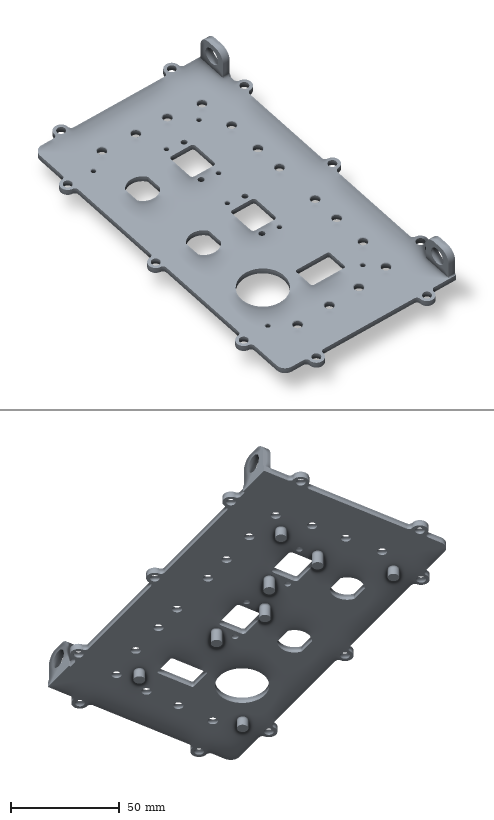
import cadquery as cq
import math

overall_x = 196.5
overall_y = 111.5
overall_z = 25.0

plate_x = 184.7
plate_y = 100.5
plate_thickness = 3.1
front_corner_radius = 5.0

tab_radius = 4.0
tab_hole_diameter = 4.5
tab_root_radius = 2.0
long_edge_tab_xs = (-65.0, 0, 65.0)
short_edge_tab_ys = (-32.5, 32.5)

post_diameter = 5.3
pilot_diameter = 2.4
pilot_mouth_diameter = 3.0
drill_point_angle = 118
pilot_tip_height = pilot_diameter / 2 / math.tan(math.radians(drill_point_angle / 2))
post_floor = 1.0
long_post_length = 6.9
short_post_length = 5.0
short_post_points = [(60.5, 21.6), (64.5, -37.1)]

ear_height = overall_z - long_post_length - plate_thickness
ear_width = 16.5
ear_thickness = 4.0
ear_rear_y = 51.0
ear_top_radius = 5.9
ear_foot_radius = 0.8
ear_hole_diameter = 9.0
ear_hole_height = 7.5
ear_x = plate_x / 2 - ear_foot_radius - ear_width / 2

mouth_angle = 90

indicator_diameter = 4.7
indicator_mouth_diameter = 5.3
indicator_points = [
    (13.2, 31.2),
    (29.0, 31.2),
    (48.5, 31.2),
    (68.0, 29.3),
    (70.7, 11.2),
    (71.5, -6.7),
    (72.3, -26.0),
]

station_xs = (-41.3, 3.7)
window_x = 16.9
window_y = 14.3
window_center_y = 2.5
window_corner_radius = 1.5
knob_hole_diameter = 16.1
knob_hole_flats = 13.4
knob_hole_y = -26.7

fixing_y = 4.5
post_offset_x = 13.5
clearance_offset_x = 12.0
clearance_diameter = 3.1

switch_x = 12.5
switch_y = 19.8
switch_corner_radius = 1.0
switch_center = (50.5, 4.7)
dial_diameter = 25.0
dial_center = (43.6, -23.5)


def mirrored(points):
    """Points together with their mirror images across the YZ plane."""
    return [(side * x, y) for side in (-1, 1) for x, y in points]


def through_plate(sketch):
    """Cutter running through the plate only."""
    return sketch.extrude(plate_thickness)


def edge_tab(along, center_distance, edge_distance, outward_angle):
    """Round tab centred beyond a plate edge, with concave roots blending into that edge.

    It is drawn on an edge facing +Y and then turned about Z to face outward_angle.
    Returns the tab body and the cutter for its screw hole.
    """
    root_rise = edge_distance + tab_root_radius - center_distance
    center_gap = tab_radius + tab_root_radius
    root_dx = math.sqrt(center_gap**2 - root_rise**2)
    touch_x = root_dx * tab_radius / center_gap
    touch_y = center_distance + root_rise * tab_radius / center_gap
    inner_y = edge_distance - tab_radius
    outline = (
        cq.Workplane("XY")
        .moveTo(along - root_dx, inner_y)
        .lineTo(along - root_dx, edge_distance)
        .radiusArc((along - touch_x, touch_y), -tab_root_radius)
        .threePointArc((along, center_distance + tab_radius), (along + touch_x, touch_y))
        .radiusArc((along + root_dx, edge_distance), -tab_root_radius)
        .lineTo(along + root_dx, inner_y)
        .close()
    )
    hole = cq.Workplane("XY").center(along, center_distance).circle(tab_hole_diameter / 2)
    turn = outward_angle - 90
    origin, z_axis = (0, 0, 0), (0, 0, 1)
    return (
        through_plate(outline).rotate(origin, z_axis, turn),
        through_plate(hole).rotate(origin, z_axis, turn),
    )


def make_plate():
    plate = cq.Workplane("XY").box(plate_x, plate_y, plate_thickness, centered=(True, True, False))
    plate = plate.edges("|Z and <Y").fillet(front_corner_radius)
    tabs = []
    for angle in (90, 270):
        for x in long_edge_tab_xs:
            tabs.append(edge_tab(x, overall_y / 2 - tab_radius, plate_y / 2, angle))
    for angle in (0, 180):
        for y in short_edge_tab_ys:
            tabs.append(edge_tab(y, overall_x / 2 - tab_radius, plate_x / 2, angle))
    for body, _ in tabs:
        plate = plate.union(body)
    for _, hole in tabs:
        plate = plate.cut(hole)
    return plate


def make_ear(center_x):
    """Drilled ear with rounded top and flared feet, on a foot as deep as the plate."""
    half = ear_width / 2
    foot_half = half + ear_foot_radius
    base = plate_thickness
    top = base + ear_height
    ear = (
        cq.Workplane("XZ", origin=(center_x, ear_rear_y, 0))
        .moveTo(-foot_half, 0)
        .lineTo(-foot_half, base)
        .radiusArc((-half, base + ear_foot_radius), -ear_foot_radius)
        .lineTo(-half, top - ear_top_radius)
        .radiusArc((-half + ear_top_radius, top), ear_top_radius)
        .lineTo(half - ear_top_radius, top)
        .radiusArc((half, top - ear_top_radius), ear_top_radius)
        .lineTo(half, base + ear_foot_radius)
        .radiusArc((foot_half, base), -ear_foot_radius)
        .lineTo(foot_half, 0)
        .close()
        .extrude(ear_thickness)
    )
    hole = (
        cq.Workplane("XZ", origin=(center_x, ear_rear_y, base + ear_hole_height))
        .circle(ear_hole_diameter / 2)
        .extrude(ear_thickness)
    )
    return ear.cut(hole)


def rounded_window(center, size_x, size_y, corner_radius):
    window = cq.Workplane("XY").center(*center).rect(size_x, size_y)
    return through_plate(window).edges("|Z").fillet(corner_radius)


def knob_hole(center_x):
    """Round hole narrowed by two flats parallel to X."""
    circle = cq.Workplane("XY").center(center_x, knob_hole_y).circle(knob_hole_diameter / 2)
    flats = cq.Workplane("XY").center(center_x, knob_hole_y).rect(knob_hole_diameter, knob_hole_flats)
    return through_plate(circle).intersect(through_plate(flats))


def round_holes(points, diameter):
    return through_plate(cq.Workplane("XY").pushPoints(points).circle(diameter / 2))


def top_face_points(body, points):
    """Body with points placed on the top face of the plate."""
    return body.copyWorkplane(cq.Workplane("XY", origin=(0, 0, plate_thickness))).pushPoints(points)


def cut_indicators(body):
    """Through holes with a small countersunk mouth."""
    places = top_face_points(body, mirrored(indicator_points))
    return places.cskHole(indicator_diameter, indicator_mouth_diameter, mouth_angle)


def add_posts(body, points, length):
    """Posts under the plate, with countersunk pilot holes from the top face ending in a drill point."""
    posts = cq.Workplane("XY").pushPoints(points).circle(post_diameter / 2).extrude(-length)
    pilot_depth = plate_thickness + length - post_floor - pilot_tip_height
    body = top_face_points(body.union(posts), points).cskHole(
        pilot_diameter, pilot_mouth_diameter, mouth_angle, pilot_depth
    )
    for x, y in points:
        tip = cq.Solid.makeCone(
            pilot_diameter / 2,
            0,
            pilot_tip_height,
            pnt=cq.Vector(x, y, plate_thickness - pilot_depth),
            dir=cq.Vector(0, 0, -1),
        )
        body = body.cut(cq.Workplane(obj=tip))
    return body


result = make_plate()
for side in (-1, 1):
    result = result.union(make_ear(side * ear_x))

result = cut_indicators(result)
result = result.cut(rounded_window(switch_center, switch_x, switch_y, switch_corner_radius))
result = result.cut(round_holes([dial_center], dial_diameter))

for station_x in station_xs:
    window_center = (station_x, window_center_y)
    result = result.cut(rounded_window(window_center, window_x, window_y, window_corner_radius))
    result = result.cut(knob_hole(station_x))
    post_points = [
        (station_x + side * post_offset_x, window_center_y + side * fixing_y) for side in (-1, 1)
    ]
    clearance_points = [
        (station_x + side * clearance_offset_x, window_center_y - side * fixing_y) for side in (-1, 1)
    ]
    result = add_posts(result, post_points, long_post_length)
    result = result.cut(round_holes(clearance_points, clearance_diameter))

result = add_posts(result, mirrored(short_post_points), short_post_length)